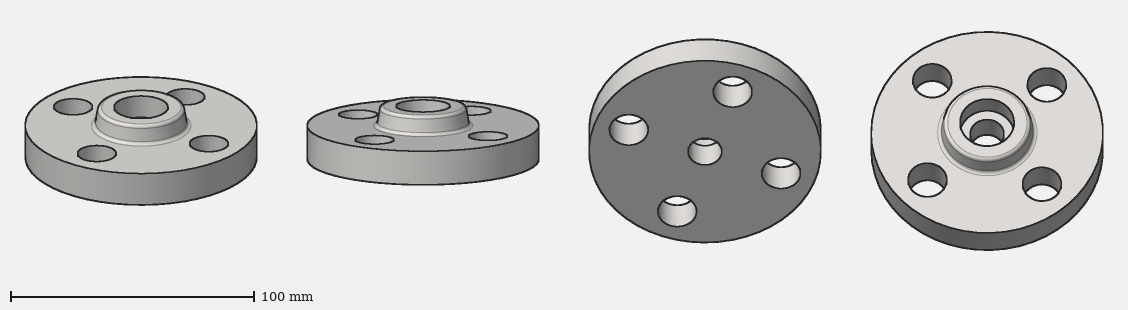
import cadquery as cq
import math


flange_diameter = 95.25
flange_thickness = 14.22
overall_height = 22.35

hub_base_diameter = 38.1
hub_draft_angle = 10.0
hub_root_fillet = 1.59
hub_rim_fillet = 1.59

bore_diameter = 13.87
socket_diameter = 22.2
socket_depth = 9.65

bolt_circle_diameter = 66.55
bolt_hole_diameter = 15.88
bolt_hole_count = 4

hub_height = overall_height - flange_thickness
hub_top_diameter = hub_base_diameter - 2 * hub_height * math.tan(math.radians(hub_draft_angle))


def make_flange_with_hub():
    """Revolve the flange disc and its tapered hub, then round the hub's root and rim."""
    flange_radius = flange_diameter / 2
    body = (
        cq.Workplane("XZ")
        .moveTo(0, 0)
        .lineTo(flange_radius, 0)
        .lineTo(flange_radius, flange_thickness)
        .lineTo(hub_base_diameter / 2, flange_thickness)
        .lineTo(hub_top_diameter / 2, overall_height)
        .lineTo(0, overall_height)
        .close()
        .revolve(360, (0, 0, 0), (0, 1, 0))
    )
    root_edge = cq.selectors.RadiusNthSelector(1)
    body = body.edges(root_edge).fillet(hub_root_fillet)
    return body.faces(">Z").edges().fillet(hub_rim_fillet)


def cut_stepped_bore(body):
    """Cut the through bore and the wider socket from the top of the hub."""
    return body.faces(">Z").workplane(origin=(0, 0, 0)).cboreHole(
        bore_diameter, socket_diameter, socket_depth
    )


def cut_bolt_holes(body):
    """Drill equally spaced through holes, the first one on the +X axis."""
    return (
        body.faces("<Z")
        .workplane(origin=(0, 0, 0))
        .polarArray(bolt_circle_diameter / 2, 0, 360, bolt_hole_count)
        .hole(bolt_hole_diameter)
    )


result = cut_bolt_holes(cut_stepped_bore(make_flange_with_hub()))